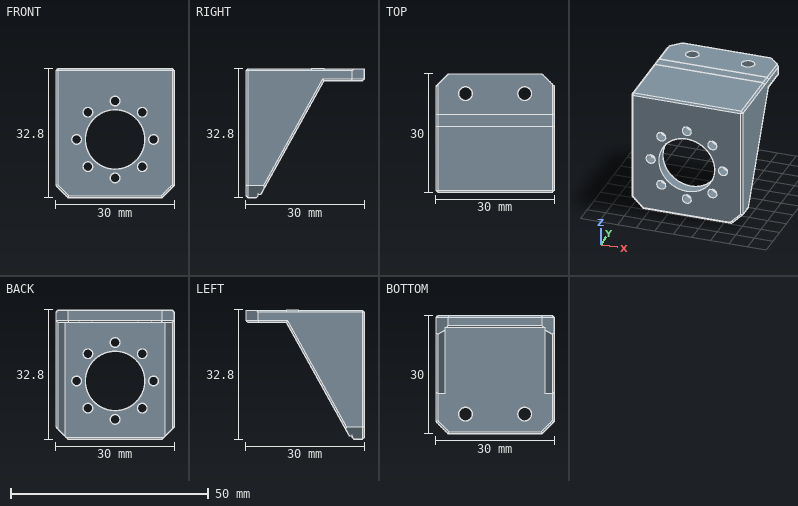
import cadquery as cq

width = 30.0
depth = 30.0
height = 32.8

plate = 3.1
gusset = 2.3
foot_depth = 3.3
flange_reach = 10.25
corner_cut = 3.1
edge_break = 0.5

strip_rise = 0.1
strip_width = 3.1

bore_diameter = 15.0
bore_height = 14.8
ring_diameter = 19.5
ring_hole_diameter = 2.4
ring_hole_count = 8

mount_diameter = 3.4
mount_spacing = 15.0
mount_inset = 5.0

deck = height - strip_rise
underside = deck - plate
front = -depth / 2
back = depth / 2
plate_back = front + plate
slope_top = back - flange_reach
slope_foot = front + foot_depth


def side_prism(points, prism_width):
    """Extrude a (Y, Z) outline symmetrically along X."""
    return cq.Workplane("YZ").polyline(points).close().extrude(prism_width / 2, both=True)


def corner_prisms(plane, end_edge, direction, length):
    """Triangular cutters for the two corners at the end of a plate."""
    cutters = cq.Workplane(plane)
    for side in (-1, 1):
        corner = side * width / 2
        cutters = cutters.add(
            cq.Workplane(plane)
            .polyline([
                (corner, end_edge),
                (corner - side * corner_cut, end_edge),
                (corner, end_edge - direction * corner_cut),
            ])
            .close()
            .extrude(length, both=True)
        )
    return cutters.combine()


def outer_body():
    """Solid bracket outline with cut corners and chamfered edges."""
    body = side_prism([
        (front, 0),
        (slope_foot, 0),
        (slope_top, underside),
        (back, underside),
        (back, deck),
        (front, deck),
    ], width)
    body = body.cut(corner_prisms("XZ", 0, -1, depth))
    body = body.cut(corner_prisms("XY", back, 1, 2 * height))

    run = slope_top - slope_foot
    slope_normal = cq.Vector(0, underside, -run).normalized()
    fold = cq.Vector(0, slope_top, underside)
    edges = []
    for face in body.faces().vals():
        normal = face.normalAt()
        is_front = normal.y < -0.99
        is_top = normal.z > 0.99
        is_underside = normal.z < -0.99 and face.Center().z > underside / 2
        is_slope = normal.dot(slope_normal) > 0.99
        for edge in face.Edges():
            runs_along_y = abs(edge.tangentAt(0.5).y) > 0.99
            is_fold = (edge.Center() - fold).Length < edge_break
            outlines_face = (is_front or is_underside) and not is_fold
            is_gusset_rim = is_slope and abs(edge.tangentAt(0.5).x) < 0.01
            chosen = outlines_face or is_gusset_rim or (is_top and runs_along_y)
            if chosen and not any(edge.isSame(other) for other in edges):
                edges.append(edge)
    return body.newObject(edges).chamfer(edge_break)


def cavity():
    """Space between the gussets, behind the front plate and below the deck."""
    return side_prism([
        (plate_back, 0),
        (back, 0),
        (back, underside),
        (plate_back, underside),
    ], width - 2 * gusset)


def foot_bevel():
    """Cutter for the chamfer on the lower rear edge of the front plate."""
    return side_prism([
        (plate_back - edge_break, 0),
        (plate_back, edge_break),
        (slope_foot, edge_break),
        (slope_foot, 0),
    ], width)


def top_strip():
    """Raised strip whose ends continue the chamfer of the deck."""
    half_crest = width / 2 - edge_break
    return (
        cq.Workplane("XZ", origin=(0, slope_top, 0))
        .polyline([
            (-width / 2, deck - edge_break),
            (width / 2, deck - edge_break),
            (half_crest, height),
            (-half_crest, height),
        ])
        .close()
        .extrude(strip_width)
    )


def front_holes():
    """Bearing opening and its evenly spaced screw holes."""
    plane = cq.Workplane("XZ", origin=(0, plate_back, bore_height))
    bore = plane.circle(bore_diameter / 2).extrude(plate)
    ring = (
        plane.polarArray(ring_diameter / 2, 0, 360, ring_hole_count)
        .circle(ring_hole_diameter / 2)
        .extrude(plate)
    )
    return bore.union(ring)


def mount_holes():
    """Pair of vertical holes through the flange."""
    return (
        cq.Workplane("XY", origin=(0, back - mount_inset, underside))
        .rarray(mount_spacing, 0.33, 2, 1)
        .circle(mount_diameter / 2)
        .extrude(plate)
    )


bracket = outer_body().union(top_strip()).cut(cavity()).cut(foot_bevel())
result = bracket.cut(front_holes()).cut(mount_holes())